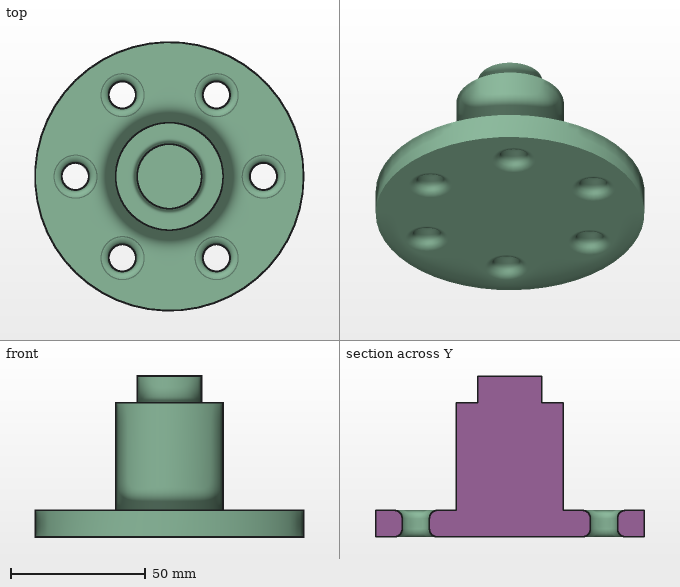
import cadquery as cq

flange_diameter = 100
flange_thickness = 10

shaft_diameter = 40
shaft_length = 40
pin_diameter = 24
pin_length = 10

hole_count = 6
hole_diameter = 10
hole_circle_diameter = 70
hole_rim_radius = 3


def drilled_flange():
    """Disc with a ring of through holes, rounded at both rims."""
    disc = cq.Workplane("XY").circle(flange_diameter / 2).extrude(flange_thickness)
    drilled = (
        disc.faces(">Z")
        .workplane()
        .polarArray(hole_circle_diameter / 2, 0, 360, hole_count)
        .hole(hole_diameter)
    )
    hole_rims = drilled.edges(cq.selectors.RadiusNthSelector(0))
    return hole_rims.fillet(hole_rim_radius)


def add_cylinder(body, diameter, length):
    """Stack a centred cylinder on the top face of the body."""
    top = body.faces(">Z").workplane(origin=(0, 0, 0))
    return top.circle(diameter / 2).extrude(length)


flange = drilled_flange()
flange_with_shaft = add_cylinder(flange, shaft_diameter, shaft_length)
result = add_cylinder(flange_with_shaft, pin_diameter, pin_length)